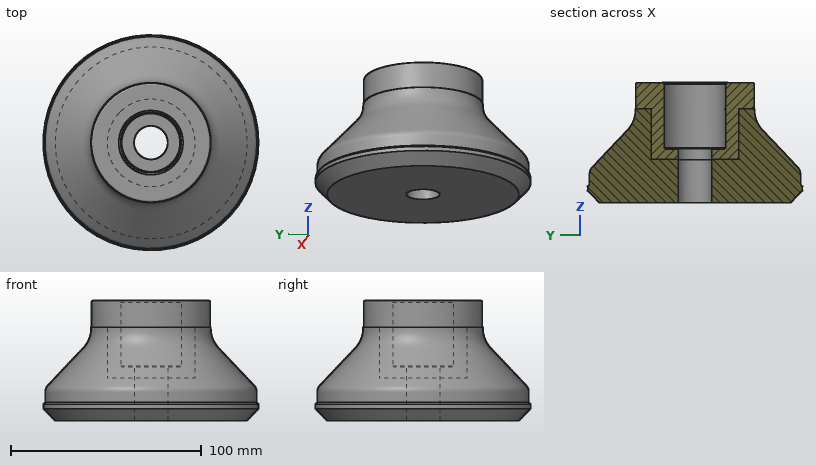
import cadquery as cq
import math

rim_radius = 56.5
total_height = 63.0

collar_radius = 62.3 / 2
collar_base_z = 49.0
collar_edge = 1.0
stem_radius = 46.0 / 2
stem_base_z = 22.6
bore_radius = 31.7 / 2
bore_edge = 1.0
bore_floor_z = 28.2
seat_radius = 15.2
seat_height = 0.6
hole_radius = 17.5 / 2

neck_radius = 62.9 / 2
neck_fillet_z = 48.3
cone_top_radius = 35.6
cone_top_z = 38.1
skirt_radius = 111.0 / 2
skirt_top_z = 15.1
shoulder_radius = 4.7
bead_top_z = 9.6
bead_step = rim_radius - skirt_radius
bead_base_z = 6.4
base_radius = 50.3

cone_angle = 2 * math.atan((cone_top_radius - neck_radius) / (neck_fillet_z - cone_top_z))
neck_fillet_radius = (neck_fillet_z - cone_top_z) / math.sin(cone_angle)


def arc_offset(radius, angle):
    """Radial and axial travel along an arc that starts parallel to the axis."""
    return radius * (1 - math.cos(angle)), radius * math.sin(angle)


def make_insert():
    """Collar and stem with rounded top edge, stepped bore and through hole."""
    profile = (
        cq.Workplane("XZ")
        .moveTo(hole_radius, stem_base_z)
        .lineTo(stem_radius, stem_base_z)
        .lineTo(stem_radius, collar_base_z)
        .lineTo(collar_radius, collar_base_z)
        .lineTo(collar_radius, total_height - collar_edge)
        .radiusArc((collar_radius - collar_edge, total_height), -collar_edge)
        .lineTo(bore_radius + bore_edge, total_height)
        .lineTo(bore_radius, total_height - bore_edge)
        .lineTo(bore_radius, bore_floor_z + seat_height)
        .lineTo(seat_radius, bore_floor_z + seat_height)
        .lineTo(seat_radius, bore_floor_z)
        .lineTo(hole_radius, bore_floor_z)
        .close()
    )
    return profile.revolve()


def make_cup():
    """Flared cup with a blind seat for the stem and a through hole below it."""
    half_turn_x, half_turn_z = arc_offset(neck_fillet_radius, cone_angle / 2)
    shoulder_mid_x, shoulder_mid_z = arc_offset(shoulder_radius, cone_angle / 2)
    shoulder_x, shoulder_z = arc_offset(shoulder_radius, cone_angle)
    profile = (
        cq.Workplane("XZ")
        .moveTo(hole_radius, 0)
        .lineTo(base_radius, 0)
        .lineTo(rim_radius, bead_base_z)
        .lineTo(rim_radius, bead_top_z - bead_step)
        .lineTo(skirt_radius, bead_top_z)
        .lineTo(skirt_radius, skirt_top_z)
        .threePointArc(
            (skirt_radius - shoulder_mid_x, skirt_top_z + shoulder_mid_z),
            (skirt_radius - shoulder_x, skirt_top_z + shoulder_z),
        )
        .lineTo(cone_top_radius, cone_top_z)
        .threePointArc(
            (neck_radius + half_turn_x, neck_fillet_z - half_turn_z),
            (neck_radius, neck_fillet_z),
        )
        .lineTo(neck_radius, collar_base_z)
        .lineTo(stem_radius, collar_base_z)
        .lineTo(stem_radius, stem_base_z)
        .lineTo(hole_radius, stem_base_z)
        .close()
    )
    return profile.revolve()


insert = make_insert()
cup = make_cup()
result = cq.Compound.makeCompound([insert.val(), cup.val()])